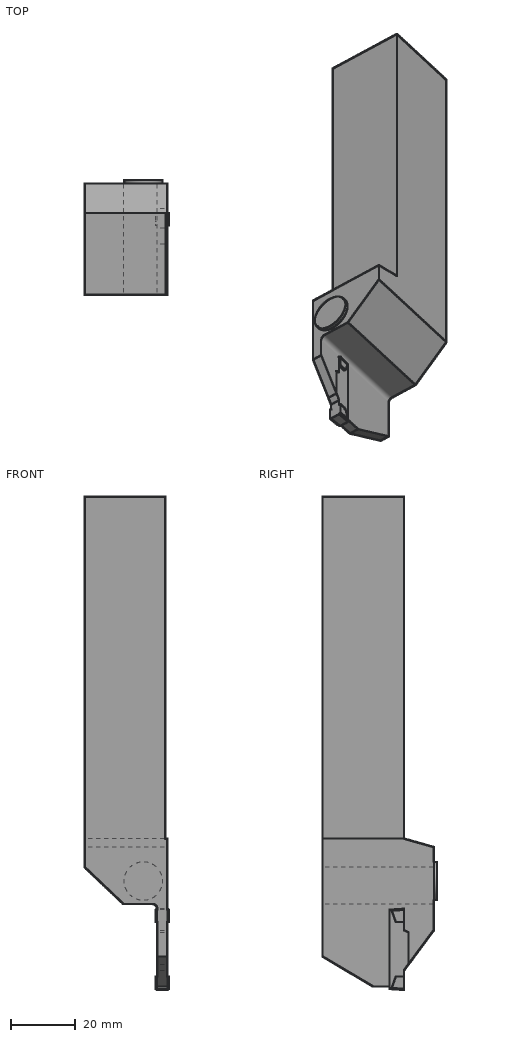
import cadquery as cq

SHANK_WIDTH = 25.0
SHANK_DEPTH = 25.3
TOTAL_HEIGHT = 152.4

HEAD_RIGHT = 25.6
HEAD_BACK = 34.5
HEAD_TOP = 46.8
HEAD_SHOULDER = 44.2
HEAD_BOTTOM = 26.5
BEVEL_TOP = 38.0
BEVEL_RUN = 12.0

BLADE_LEFT = 22.4
BLADE_WIDTH = HEAD_RIGHT - BLADE_LEFT
BLADE_FILLET = 1.4
BLADE_BOTTOM = 1.0
CHIN_TOP = 10.4
CHIN_RUN = 15.7
JAW_TOP = 18.5

SCREW_DIAMETER = 11.9
SCREW_HEIGHT = 1.0
SCREW_X = 18.1
SCREW_Z = 33.7

INSERT_TOP = HEAD_BOTTOM - BLADE_FILLET
INSERT_MIDDLE = INSERT_TOP / 2
SEAT_Y = 20.7
EDGE_Y = SHANK_DEPTH
HUMP_Y = 26.7
JAW_END = 6.1
HUMP_BEVEL = 0.6
END_RELIEF = 0.3
TIP_OVERHANG = 0.5
TIP_LENGTH = 4.1
TIP_ROOT_Y = 22.7
TIP_POINT_Y = 21.3
TIP_CHAMFER = 0.38

HUMP_BOTTOM = JAW_END + (HUMP_Y - EDGE_Y) * (JAW_TOP - JAW_END) / (HEAD_BACK - EDGE_Y)


def side_prism(points, left, width):
    """Extrude a (Y, Z) outline along +X, starting at X = left."""
    return cq.Workplane("YZ").workplane(offset=left).polyline(points).close().extrude(width)


def make_head():
    """Bevelled head and thin blade: front outline trimmed by the side outline."""
    front = (
        cq.Workplane("XZ")
        .moveTo(0, HEAD_TOP)
        .lineTo(0, BEVEL_TOP)
        .lineTo(BEVEL_RUN, HEAD_BOTTOM)
        .lineTo(BLADE_LEFT - BLADE_FILLET, HEAD_BOTTOM)
        .radiusArc((BLADE_LEFT, HEAD_BOTTOM - BLADE_FILLET), BLADE_FILLET)
        .lineTo(BLADE_LEFT, 0)
        .lineTo(HEAD_RIGHT, 0)
        .lineTo(HEAD_RIGHT, HEAD_TOP)
        .close()
        .extrude(-HEAD_BACK)
    )
    side = [
        (0, HEAD_TOP),
        (SHANK_DEPTH, HEAD_TOP),
        (HEAD_BACK, HEAD_SHOULDER),
        (HEAD_BACK, JAW_TOP),
        (EDGE_Y, JAW_END),
        (EDGE_Y, BLADE_BOTTOM),
        (CHIN_RUN, BLADE_BOTTOM),
        (0, CHIN_TOP),
    ]
    return front.intersect(side_prism(side, 0, HEAD_RIGHT))


def make_insert_body():
    """Flat insert body, flush with the blade, with a hump under the jaw."""
    outline = [
        (SEAT_Y, END_RELIEF),
        (EDGE_Y, 0),
        (EDGE_Y, JAW_END),
        (HUMP_Y, HUMP_BOTTOM),
        (HUMP_Y, JAW_TOP - HUMP_BEVEL),
        (EDGE_Y, JAW_TOP),
        (EDGE_Y, INSERT_TOP),
        (SEAT_Y, INSERT_TOP - END_RELIEF),
    ]
    return side_prism(outline, BLADE_LEFT, BLADE_WIDTH)


def make_lower_tip():
    """Lower cutting tip, wider than the blade on both sides."""
    outline = [
        (EDGE_Y, 0),
        (EDGE_Y, TIP_LENGTH),
        (TIP_ROOT_Y, TIP_LENGTH),
        (TIP_POINT_Y, END_RELIEF),
    ]
    left = BLADE_LEFT - TIP_OVERHANG
    tip = side_prism(outline, left, BLADE_WIDTH + 2 * TIP_OVERHANG)
    return tip.faces("<Z").edges("<X or >X").chamfer(TIP_CHAMFER)


def make_insert():
    lower_tip = make_lower_tip()
    upper_tip = lower_tip.mirror("XY", (0, 0, INSERT_MIDDLE))
    return make_insert_body().union(lower_tip).union(upper_tip)


def make_holder(insert):
    """Shank, head and screw head, with a matching seat for the insert."""
    shank = cq.Workplane("XY").workplane(offset=HEAD_TOP).rect(SHANK_WIDTH, SHANK_DEPTH, centered=False)
    shank = shank.extrude(TOTAL_HEIGHT - HEAD_TOP)
    screw = (
        cq.Workplane("XZ", origin=(SCREW_X, HEAD_BACK, SCREW_Z))
        .circle(SCREW_DIAMETER / 2)
        .extrude(-SCREW_HEIGHT)
    )
    return make_head().union(shank).union(screw).cut(insert)


insert = make_insert()
holder = make_holder(insert)

result = cq.Compound.makeCompound([holder.solids().val(), insert.solids().val()])